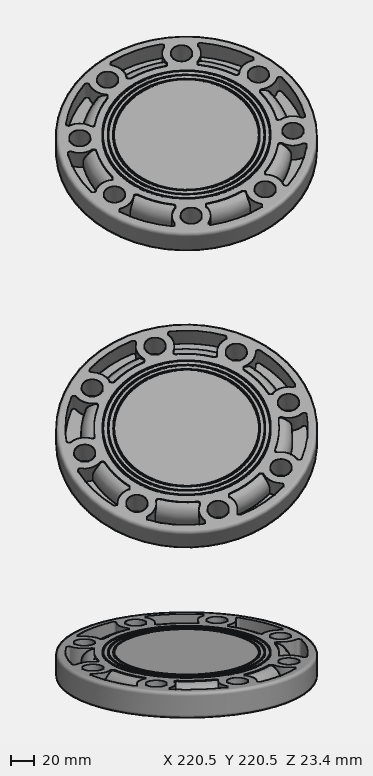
import cadquery as cq
import math

flange_diameter = 220.5
flange_radius = flange_diameter / 2
thickness = 23.4
rim_fillet = 3.0

bolt_count = 8
bolt_circle_radius = 90.0
bolt_hole_radius = 18.0 / 2
bolt_boss_radius = 16.3

pocket_inner_radius = 78.0
pocket_outer_radius = 102.4
pocket_depth = 18.5
pocket_corner_radius = 4.6 / 2
pocket_lip_height = 0.9
pocket_shoulder_radius = 11.3

sealing_grooves = [(122.0, 124.2), (131.3, 133.2), (140.5, 142.5)]
groove_depth = 1.0


def bolt_cylinders(radius):
    """Full-height cylinders of the given radius at every bolt position."""
    return (
        cq.Workplane("XY")
        .polarArray(bolt_circle_radius, 0, 360, bolt_count)
        .circle(radius)
        .extrude(thickness)
    )


def sunk_ring(inner_radius, outer_radius, depth):
    """A ring reaching from the top face down to the given depth."""
    return (
        cq.Workplane("XY")
        .workplane(offset=thickness - depth)
        .circle(outer_radius)
        .circle(inner_radius)
        .extrude(depth)
    )


def flange_disc():
    """The plain disc with both rim edges rounded."""
    blank = cq.Workplane("XY").circle(flange_radius).extrude(thickness)
    return blank.faces("<Z or >Z").edges().fillet(rim_fillet)


def shouldered_ring():
    """Ring with a quarter-round shoulder between its upper inner lip and a wider upright wall."""
    wall_radius = pocket_inner_radius + pocket_shoulder_radius
    lip_z = thickness - pocket_lip_height
    shoulder_z = lip_z - pocket_shoulder_radius
    floor_z = thickness - pocket_depth
    arc_offset = pocket_shoulder_radius * math.sqrt(0.5)
    arc_middle = (pocket_inner_radius + arc_offset, shoulder_z + arc_offset)
    return (
        cq.Workplane("XZ")
        .moveTo(pocket_inner_radius, thickness)
        .lineTo(pocket_inner_radius, lip_z)
        .threePointArc(arc_middle, (wall_radius, shoulder_z))
        .lineTo(wall_radius, floor_z)
        .lineTo(pocket_outer_radius, floor_z)
        .lineTo(pocket_outer_radius, thickness)
        .close()
        .revolve(360, (0, 0, 0), (0, 1, 0))
    )


def pockets():
    """Eight curved pockets, scalloped around the bolt bosses and rounded at their upright corners."""
    blocks = sunk_ring(pocket_inner_radius, pocket_outer_radius, pocket_depth)
    blocks = blocks.cut(bolt_cylinders(bolt_boss_radius))
    blocks = blocks.edges("|Z").fillet(pocket_corner_radius)
    return blocks.intersect(shouldered_ring())


result = flange_disc().cut(bolt_cylinders(bolt_hole_radius)).cut(pockets())
for inner_diameter, outer_diameter in sealing_grooves:
    result = result.cut(sunk_ring(inner_diameter / 2, outer_diameter / 2, groove_depth))